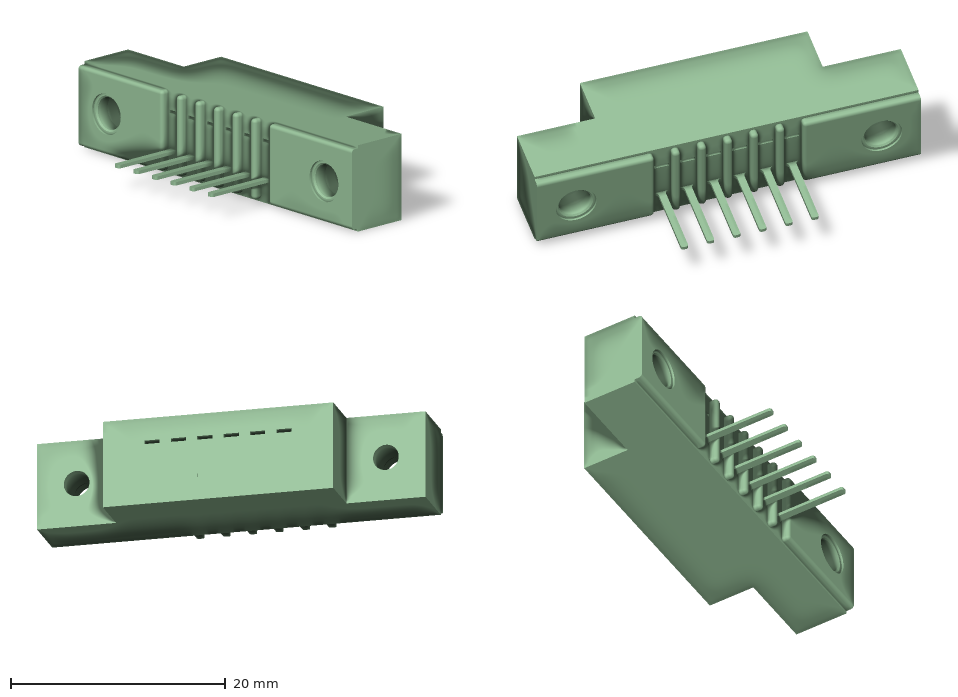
import cadquery as cq


LENGTH = 37.47
HEIGHT = 8.4
DEPTH = 10.25
NOSE_LENGTH = 22.22
NOSE_DEPTH = 4.75

RAISED_DEPTH = 0.8
RAISED_INSET = 0.3
RAISED_HEIGHT = HEIGHT - 2 * RAISED_INSET
RIB_WIDTH = 0.75
EDGE_RADIUS = 0.35

CONTACT_COUNT = 6
PITCH = 2.55
ROW_OFFSET = 1.85
SLOT_WIDTH = 1.45
SLOT_HEIGHT = 0.35
TAIL_WIDTH = 0.7
TAIL_LENGTH = 7.42
TAIL_TIP_RADIUS = 0.22
FLARE_RADIUS = (SLOT_WIDTH - TAIL_WIDTH) / 2

MOUNT_X = 14.9
BUSHING_RADIUS = 2.0
BUSHING_RECESS = 0.22
ENTRY_RADIUS = 1.57
ENTRY_DEPTH = 1.4
ENTRY_CHAMFER = 0.15
BORE_RADIUS = 1.25
TAPER_LENGTH = 0.95

CONTACT_XS = [(i - (CONTACT_COUNT - 1) / 2) * PITCH for i in range(CONTACT_COUNT)]
RIB_XS = [x + PITCH / 2 for x in CONTACT_XS[:-1]]
PAD_INNER_X = CONTACT_COUNT / 2 * PITCH - RIB_WIDTH / 2
PAD_FACE_Y = -RAISED_DEPTH


def box(x_min, x_max, y_min, y_max, z_center, z_height):
    """Box between the given X and Y limits, centred on z_center."""
    return (
        cq.Workplane("XY")
        .box(x_max - x_min, y_max - y_min, z_height)
        .translate(((x_min + x_max) / 2, (y_min + y_max) / 2, z_center))
    )


def cylinder(x, radius, y_min, y_max):
    """Cylinder along Y between the given limits, at mid height."""
    return (
        cq.Workplane("XZ", origin=(x, y_max, 0))
        .circle(radius)
        .extrude(y_max - y_min)
    )


def make_rib(x):
    """Rib between neighbouring contacts, rounded on every edge off the face."""
    rib = box(x - RIB_WIDTH / 2, x + RIB_WIDTH / 2, PAD_FACE_Y, 0, 0, RAISED_HEIGHT)
    return rib.edges("not >Y").fillet(EDGE_RADIUS)


def make_right_pad():
    """Pad around the +X mounting hole, square where it meets the housing end."""
    pad = box(PAD_INNER_X, LENGTH / 2, PAD_FACE_Y, 0, 0, RAISED_HEIGHT)
    return pad.edges("not (>Y or >X)").fillet(EDGE_RADIUS)


def make_slot(x, z):
    """Contact slot through the whole depth of the housing."""
    return box(x - SLOT_WIDTH / 2, x + SLOT_WIDTH / 2, 0, DEPTH, z, SLOT_HEIGHT)


def make_housing():
    flange = box(-LENGTH / 2, LENGTH / 2, 0, DEPTH - NOSE_DEPTH, 0, HEIGHT)
    nose = box(-NOSE_LENGTH / 2, NOSE_LENGTH / 2, 0, DEPTH, 0, HEIGHT)
    body = flange.union(nose)

    right_pad = make_right_pad()
    body = body.union(right_pad).union(right_pad.mirror("YZ"))
    for x in RIB_XS:
        body = body.union(make_rib(x))

    for x in CONTACT_XS:
        for z in (-ROW_OFFSET, ROW_OFFSET):
            body = body.cut(make_slot(x, z))

    for x in (-MOUNT_X, MOUNT_X):
        body = body.cut(cylinder(x, BUSHING_RADIUS, PAD_FACE_Y, DEPTH - NOSE_DEPTH))
    return body


def make_contact(x):
    """Flat contact: a blade filling its slot, flared down to a round-tipped tail."""
    half_blade = SLOT_WIDTH / 2
    half_tail = TAIL_WIDTH / 2
    outline = (
        cq.Workplane("XY", origin=(x, 0, -ROW_OFFSET - SLOT_HEIGHT / 2))
        .moveTo(-half_blade, DEPTH)
        .lineTo(half_blade, DEPTH)
        .lineTo(half_blade, 0)
        .radiusArc((half_tail, -FLARE_RADIUS), -FLARE_RADIUS)
        .lineTo(half_tail, -TAIL_LENGTH)
        .lineTo(-half_tail, -TAIL_LENGTH)
        .lineTo(-half_tail, -FLARE_RADIUS)
        .radiusArc((-half_blade, 0), -FLARE_RADIUS)
        .close()
    )
    return outline.extrude(SLOT_HEIGHT).edges("<Y and |Z").fillet(TAIL_TIP_RADIUS)


def make_bushing(x):
    """Bushing set slightly below the pad face, its chamfered entry tapering down to the bore."""
    front_y = PAD_FACE_Y + BUSHING_RECESS
    entry_end_y = front_y + ENTRY_DEPTH
    back_y = DEPTH - NOSE_DEPTH
    profile = [
        (BORE_RADIUS, back_y),
        (BUSHING_RADIUS, back_y),
        (BUSHING_RADIUS, front_y),
        (ENTRY_RADIUS + ENTRY_CHAMFER, front_y),
        (ENTRY_RADIUS, front_y + ENTRY_CHAMFER),
        (ENTRY_RADIUS, entry_end_y),
        (BORE_RADIUS, entry_end_y + TAPER_LENGTH),
    ]
    ring = cq.Workplane("XY").polyline(profile).close().revolve(360, (0, 0, 0), (0, 1, 0))
    return ring.translate((x, 0, 0))


housing = make_housing()
contacts = [make_contact(x) for x in CONTACT_XS]
bushings = [make_bushing(x) for x in (-MOUNT_X, MOUNT_X)]

result = cq.Compound.makeCompound(
    [housing.val()] + [contact.val() for contact in contacts] + [bushing.val() for bushing in bushings]
)